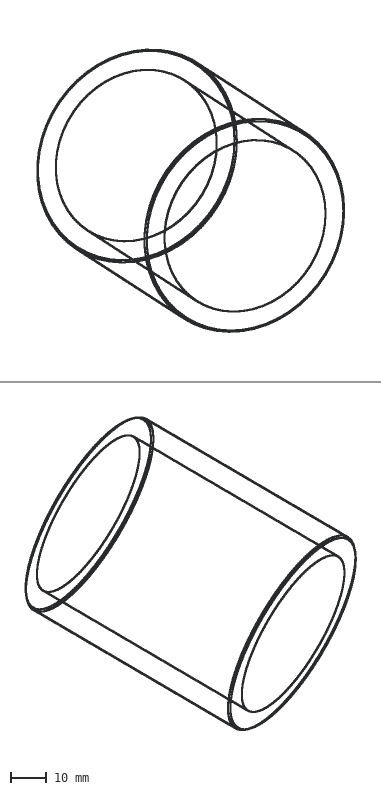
import cadquery as cq

length = 70.0
outer_diameter = 62.0
bore_diameter = 50.0
edge_chamfer = 0.5


def centred_cylinder(diameter):
    """Cylinder of the sleeve's length, centred on the origin along X."""
    return cq.Workplane("YZ", origin=(-length / 2, 0, 0)).circle(diameter / 2).extrude(length)


body = centred_cylinder(outer_diameter).faces("<X or >X").chamfer(edge_chamfer)

result = body.cut(centred_cylinder(bore_diameter))